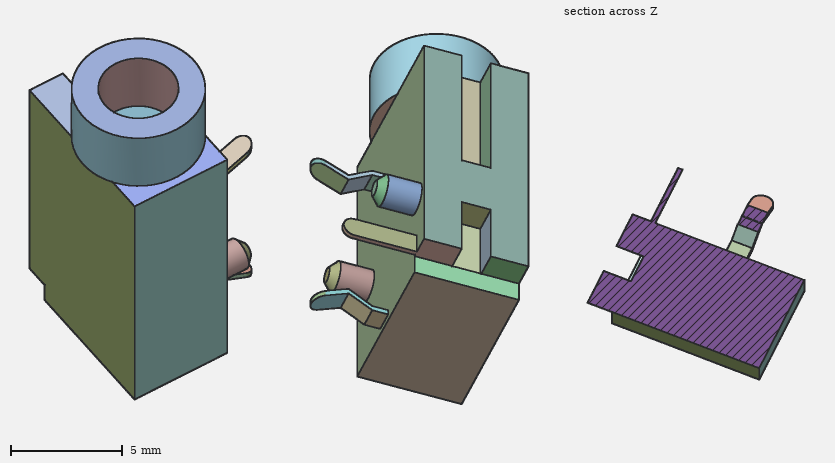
import cadquery as cq
import math


body_width = 8.4
body_depth = 5.0
body_height = 13.0
rear_face = body_depth / 2

step_width = 1.2
step_height = 1.0

total_height = 16.2
barrel_length = total_height - body_height
barrel_x = 5.0
barrel_diameter = 6.0
bore_diameter = 3.6
bore_depth = barrel_length

groove_width = 1.4
groove_depth = 1.33
upper_groove_floor = 6.5
lower_groove_top = 3.9

peg_diameter = 1.5
peg_length = 2.0
peg_chamfer = 0.39
peg_z = 4.35
left_peg_x = 1.0
right_peg_x = 7.0

terminal_length = 3.5
terminal_width = 1.0
terminal_tip = rear_face + terminal_length
blade_thickness = 0.23
blade_z = step_height + terminal_width / 2
leg_thickness = 0.26
leg_mirror_z = 4.68
leg_root_z = 8.88
leg_dip_z = 8.21
leg_tip_z = 8.95
leg_bend = 0.76
leg_dip = 1.9


def block(x0, x1, y0, y1, z0, z1):
    """Box spanning the given limits."""
    return cq.Workplane("XY").box(x1 - x0, y1 - y0, z1 - z0, centered=False).translate((x0, y0, z0))


def rear_plane(x, z):
    """Workplane on the rear face, facing +Y."""
    return cq.Workplane("XZ", origin=(x, rear_face, z)).workplane(invert=True)


def make_housing():
    """Stepped block with two side grooves, carrying the bored barrel."""
    housing = block(0, body_width, -rear_face, rear_face, 0, body_height)
    housing = housing.cut(block(0, step_width, -rear_face, rear_face, 0, step_height))
    half_groove = groove_width / 2
    for bottom, top in ((upper_groove_floor, body_height), (step_height, lower_groove_top)):
        housing = housing.cut(block(0, groove_depth, -half_groove, half_groove, bottom, top))
    barrel = (
        cq.Workplane("XY", origin=(barrel_x, 0, body_height))
        .circle(barrel_diameter / 2)
        .extrude(barrel_length)
    )
    bore = (
        cq.Workplane("XY", origin=(barrel_x, 0, total_height))
        .circle(bore_diameter / 2)
        .extrude(-bore_depth)
    )
    return housing.union(barrel).cut(bore)


def make_peg(x):
    """Round peg with a chamfered tip."""
    return (
        rear_plane(x, peg_z)
        .circle(peg_diameter / 2)
        .extrude(peg_length)
        .faces(">Y")
        .chamfer(peg_chamfer)
    )


def round_ended_outline(workplane):
    """Closed terminal outline; local X runs from the rear face to the full-round tip."""
    half_width = terminal_width / 2
    shoulder = terminal_length - half_width
    return (
        workplane
        .moveTo(0, -half_width)
        .lineTo(shoulder, -half_width)
        .threePointArc((terminal_length, 0), (shoulder, half_width))
        .lineTo(0, half_width)
        .close()
    )


def make_blade():
    """Upright flat terminal with a full-round tip."""
    side = cq.Workplane("YZ", origin=(left_peg_x, rear_face, blade_z))
    return round_ended_outline(side).extrude(blade_thickness / 2, both=True)


def make_upper_leg():
    """Bent strip terminal, full-round at the tip when seen along Z."""
    half_thickness = leg_thickness / 2
    slope = math.atan2(leg_tip_z - leg_dip_z, terminal_length - leg_dip)
    half_rise = half_thickness / math.cos(slope)
    centreline = [
        (rear_face, leg_root_z, half_thickness),
        (rear_face + leg_bend, leg_root_z, half_thickness),
        (rear_face + leg_dip, leg_dip_z, half_rise),
        (terminal_tip, leg_tip_z, half_rise),
    ]
    lower_edge = [(y, z - half) for y, z, half in centreline]
    upper_edge = [(y, z + half) for y, z, half in centreline]
    strip = (
        cq.Workplane("YZ", origin=(barrel_x, 0, 0))
        .polyline(lower_edge + upper_edge[::-1])
        .close()
        .extrude(terminal_width / 2, both=True)
    )
    base = cq.Workplane(cq.Plane(origin=(barrel_x, rear_face, 0), xDir=(0, 1, 0), normal=(0, 0, 1)))
    plan = round_ended_outline(base).extrude(body_height)
    return strip.intersect(plan)


upper_leg = make_upper_leg()
lower_leg = upper_leg.mirror("XY", (0, 0, leg_mirror_z))

result = make_housing()
for feature in (make_peg(left_peg_x), make_peg(right_peg_x), make_blade(), upper_leg, lower_leg):
    result = result.union(feature)